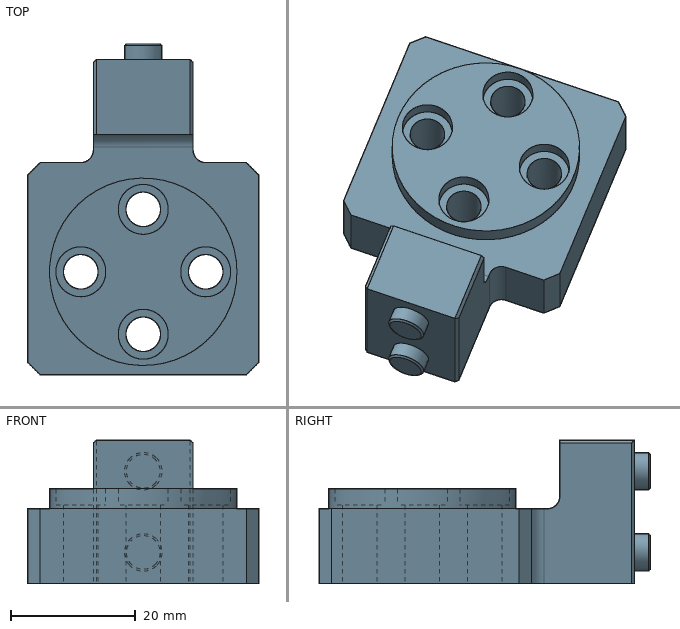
import cadquery as cq

base_width = 37.0
base_front = -16.5
base_back = 17.5
base_height = 12.0
base_corner_chamfer = 2.0

arm_width = 16.0
arm_back = 34.0
arm_height = 23.0
upright_length = 12.0
upright_front = arm_back - upright_length
neck_radius = 2.0
step_radius = 2.0
arm_edge_chamfer = 0.5

pad_diameter = 30.0
pad_height = 3.2
pad_top = base_height + pad_height
bolt_circle_radius = 10.0
bolt_count = 4
bolt_hole_diameter = 5.5
counterbore_diameter = 8.0
counterbore_depth = 2.6

pin_diameter = 6.0
pin_length = 2.5
pin_edge_chamfer = 0.3
pin_heights = (5.0, 18.0)


def make_base():
    """Square plate with chamfered vertical corners."""
    return (
        cq.Workplane("XY")
        .center(0, (base_front + base_back) / 2)
        .rect(base_width, base_back - base_front)
        .extrude(base_height)
        .edges("|Z")
        .chamfer(base_corner_chamfer)
    )


def make_arm():
    """L-shaped arm: a neck level with the plate and a chamfered upright block."""
    upright = (
        cq.Workplane("XY")
        .center(0, (upright_front + arm_back) / 2)
        .rect(arm_width, upright_length)
        .extrude(arm_height)
        .edges("(>Z and |Y) or (>Y and |Z)")
        .chamfer(arm_edge_chamfer)
    )
    neck = (
        cq.Workplane("XY")
        .center(0, (base_back + upright_front) / 2)
        .rect(arm_width, upright_front - base_back)
        .extrude(base_height)
    )
    return upright.union(neck)


def round_inner_corners(body):
    """Fillet the neck where it meets the plate and where it meets the upright."""
    neck_corners = cq.selectors.BoxSelector(
        (-arm_width / 2 - neck_radius, base_back - neck_radius, 0),
        (arm_width / 2 + neck_radius, base_back + neck_radius, base_height),
    )
    step_corner = cq.selectors.NearestToPointSelector((0, upright_front, base_height))
    body = body.edges("|Z").edges(neck_corners).fillet(neck_radius)
    return body.edges("|X").edges(step_corner).fillet(step_radius)


def add_pad(body):
    """Round pad on top of the plate."""
    pad = cq.Workplane("XY").workplane(offset=base_height).circle(pad_diameter / 2).extrude(pad_height)
    return body.union(pad)


def bolt_circle_cylinders(diameter, bottom, height):
    """Upright cylinders evenly spaced on the bolt circle."""
    return (
        cq.Workplane("XY")
        .workplane(offset=bottom)
        .polarArray(bolt_circle_radius, 0, 360, bolt_count)
        .circle(diameter / 2)
        .extrude(height)
    )


def cut_bolt_holes(body):
    """Counterbored through holes in the pad and plate."""
    through_holes = bolt_circle_cylinders(bolt_hole_diameter, 0, pad_top)
    counterbore_floor = pad_top - counterbore_depth
    counterbores = bolt_circle_cylinders(counterbore_diameter, counterbore_floor, counterbore_depth)
    return body.cut(through_holes).cut(counterbores)


def make_pin(height):
    """Short pin standing on the back face, with a chamfered free end."""
    back_face = cq.Plane(origin=(0, arm_back, height), xDir=(1, 0, 0), normal=(0, 1, 0))
    return (
        cq.Workplane(back_face)
        .circle(pin_diameter / 2)
        .extrude(pin_length)
        .faces(">Y")
        .chamfer(pin_edge_chamfer)
    )


block = make_base().union(make_arm())
block = round_inner_corners(block)
block = add_pad(block)
block = cut_bolt_holes(block)

pins = [make_pin(height) for height in pin_heights]

result = cq.Compound.makeCompound([block.solids().val(), *(pin.solids().val() for pin in pins)])